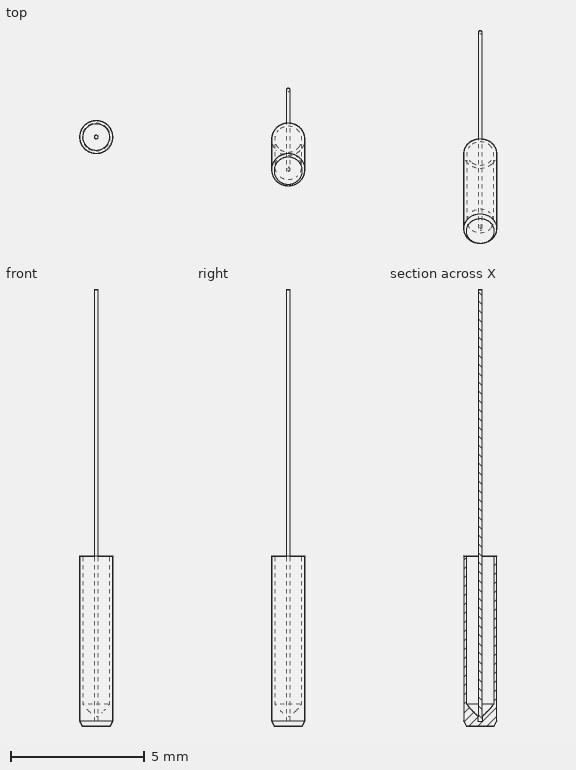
import cadquery as cq
import math

TOTAL_LENGTH = 16.4
SLEEVE_LENGTH = 6.4
SLEEVE_RADIUS = 0.62

CHAMFER_HEIGHT = 0.2
CHAMFER_WIDTH = 0.1

WALL_THICKNESS = 0.123
BORE_RADIUS = SLEEVE_RADIUS - WALL_THICKNESS
TAPER_WIDTH = 0.123
TAPER_HEIGHT = 0.16
FLOOR_RADIUS = BORE_RADIUS - TAPER_WIDTH
FLOOR_CONE_ANGLE = 90.0
FLOOR_CONE_DEPTH = FLOOR_RADIUS / math.tan(math.radians(FLOOR_CONE_ANGLE / 2))
FLOOR_TIP_Z = 0.3
FLOOR_EDGE_Z = FLOOR_TIP_Z + FLOOR_CONE_DEPTH
TAPER_TOP_Z = FLOOR_EDGE_Z + TAPER_HEIGHT

WIRE_RADIUS = 0.07
WIRE_SEAT_Z = 0.2


def make_wire():
    """Straight round wire from its seat in the floor to the upper end."""
    return (
        cq.Workplane("XY")
        .workplane(offset=WIRE_SEAT_Z)
        .circle(WIRE_RADIUS)
        .extrude(TOTAL_LENGTH - WIRE_SEAT_Z)
    )


def make_sleeve_blank():
    """Solid cylinder with a chamfered lower end."""
    outline = [
        (0, 0),
        (SLEEVE_RADIUS - CHAMFER_WIDTH, 0),
        (SLEEVE_RADIUS, CHAMFER_HEIGHT),
        (SLEEVE_RADIUS, SLEEVE_LENGTH),
        (0, SLEEVE_LENGTH),
    ]
    return cq.Workplane("XZ").polyline(outline).close().revolve(360, (0, 0), (0, 1))


def make_bore():
    """Volume removed by the bore, its tapered ring and its conical floor."""
    outline = [
        (0, FLOOR_TIP_Z),
        (FLOOR_RADIUS, FLOOR_EDGE_Z),
        (BORE_RADIUS, TAPER_TOP_Z),
        (BORE_RADIUS, SLEEVE_LENGTH),
        (0, SLEEVE_LENGTH),
    ]
    return cq.Workplane("XZ").polyline(outline).close().revolve(360, (0, 0), (0, 1))


def make_sleeve(wire):
    """Bored sleeve with a seat that matches the end of the wire."""
    return make_sleeve_blank().cut(make_bore()).cut(wire)


wire = make_wire()
sleeve = make_sleeve(wire)
result = cq.Compound.makeCompound([sleeve.val(), wire.val()])